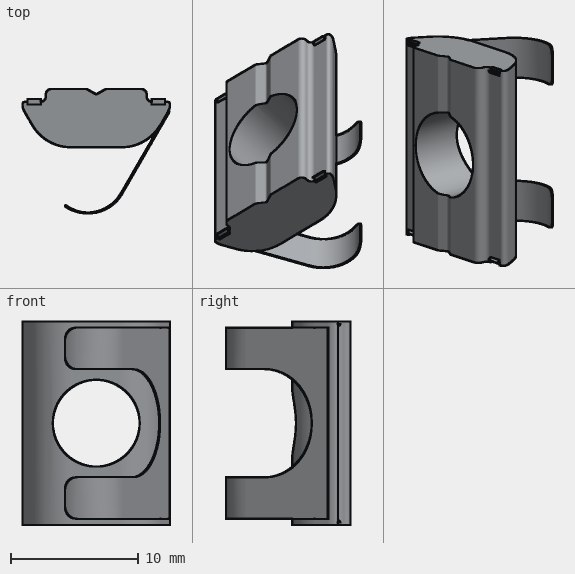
import cadquery as cq
import math

LENGTH = 16.0
HALF_WIDTH = 5.8
TOTAL_DEPTH = 9.8
BORE_DIAMETER = 6.8

BODY_DEPTH = 4.6
FLAT_HALF_WIDTH = 2.0
SHOULDER_RADIUS = 3.5
FLANK_ANGLE = math.radians(60)
FLANK_TOP_RADIUS = 1.0
LEDGE_DEPTH = 1.0
RIB_HALF_WIDTH = 3.97
RIB_TOP_RADIUS = 0.45
RIB_ROOT_RADIUS = 0.4
GROOVE_HALF_WIDTH = 0.75
GROOVE_ANGLE = math.radians(30)
GROOVE_RADIUS = 0.2

LIP_INNER_X = 4.35
LIP_OUTER_X = 5.4
LIP_BACK = -0.78
LIP_FRONT = -1.22
LIP_RECESS = 0.22

SHEET_THICKNESS = 0.1
BEND_RADIUS = 3.0
TIP_ANGLE = math.radians(35.8)
SPRING_HALF_LENGTH = 7.5
WINDOW_RADIUS = 4.24
WINDOW_CENTER_X = 2.82
TIP_CORNER_RADIUS = 1.0

COS_FLANK = math.cos(FLANK_ANGLE)
SIN_FLANK = math.sin(FLANK_ANGLE)

FLANK_FRONT_X = FLAT_HALF_WIDTH + SHOULDER_RADIUS * SIN_FLANK
FLANK_FRONT_Y = -BODY_DEPTH + SHOULDER_RADIUS * (1 - COS_FLANK)
FLANK_BACK_X = HALF_WIDTH - FLANK_TOP_RADIUS * (1 - SIN_FLANK)
FLANK_BACK_Y = FLANK_FRONT_Y + (FLANK_BACK_X - FLANK_FRONT_X) * math.tan(FLANK_ANGLE)
EAR_Y = FLANK_BACK_Y + FLANK_TOP_RADIUS * COS_FLANK
EAR_RADIUS = -LEDGE_DEPTH - EAR_Y


def polar(center, radius, angle):
    """Point on a circle, with the angle in radians from +X."""
    return (center[0] + radius * math.cos(angle), center[1] + radius * math.sin(angle))


def half_nut():
    """The +X half of the nut section, extruded over the full length."""
    shoulder_center = (FLAT_HALF_WIDTH, -BODY_DEPTH + SHOULDER_RADIUS)
    shoulder_middle = polar(shoulder_center, SHOULDER_RADIUS, -math.pi / 2 + FLANK_ANGLE / 2)
    flank_top_center = (HALF_WIDTH - FLANK_TOP_RADIUS, EAR_Y)
    flank_top_middle = polar(flank_top_center, FLANK_TOP_RADIUS, (FLANK_ANGLE - math.pi / 2) / 2)
    groove_depth = GROOVE_HALF_WIDTH * math.tan(GROOVE_ANGLE)
    return (
        cq.Workplane("XY", origin=(0, 0, -LENGTH / 2))
        .moveTo(0, -BODY_DEPTH)
        .lineTo(FLAT_HALF_WIDTH, -BODY_DEPTH)
        .threePointArc(shoulder_middle, (FLANK_FRONT_X, FLANK_FRONT_Y))
        .lineTo(FLANK_BACK_X, FLANK_BACK_Y)
        .threePointArc(flank_top_middle, (HALF_WIDTH, EAR_Y))
        .radiusArc((HALF_WIDTH - EAR_RADIUS, -LEDGE_DEPTH), -EAR_RADIUS)
        .lineTo(RIB_HALF_WIDTH + RIB_ROOT_RADIUS, -LEDGE_DEPTH)
        .radiusArc((RIB_HALF_WIDTH, -LEDGE_DEPTH + RIB_ROOT_RADIUS), RIB_ROOT_RADIUS)
        .lineTo(RIB_HALF_WIDTH, -RIB_TOP_RADIUS)
        .radiusArc((RIB_HALF_WIDTH - RIB_TOP_RADIUS, 0), -RIB_TOP_RADIUS)
        .lineTo(GROOVE_HALF_WIDTH, 0)
        .lineTo(0, -groove_depth)
        .close()
        .extrude(LENGTH)
    )


def nut():
    half = half_nut()
    body = half.union(half.mirror("YZ"))
    reach = GROOVE_HALF_WIDTH + GROOVE_RADIUS
    groove_box = cq.selectors.BoxSelector((-reach, -reach, -0.16), (reach, reach, 0.16))
    body = body.edges("|Z").edges(groove_box).fillet(GROOVE_RADIUS)
    bore = cq.Workplane("XZ").circle(BORE_DIAMETER / 2).extrude(BODY_DEPTH)
    return body.cut(bore)


def add_lips(body):
    """Recess the ledge ends and push the displaced metal out as small wedges."""
    floor_z = LENGTH / 2 - LIP_RECESS
    lip_width = LIP_OUTER_X - LIP_INNER_X
    overhang = LIP_BACK + LEDGE_DEPTH
    recess = (
        cq.Workplane("YZ", origin=(LIP_INNER_X, 0, 0))
        .moveTo(LIP_FRONT, floor_z)
        .lineTo(LIP_BACK, floor_z)
        .lineTo(LIP_BACK, LENGTH / 2)
        .lineTo(LIP_FRONT, LENGTH / 2)
        .close()
        .extrude(lip_width)
    )
    wedge = (
        cq.Workplane("YZ", origin=(LIP_INNER_X, 0, 0))
        .moveTo(LIP_FRONT, floor_z)
        .lineTo(LIP_BACK, floor_z)
        .lineTo(-LEDGE_DEPTH, floor_z - overhang)
        .lineTo(LIP_FRONT, floor_z - overhang)
        .close()
        .extrude(lip_width)
    )
    for mirror_x in (False, True):
        for mirror_z in (False, True):
            cutter, lip = recess, wedge
            if mirror_x:
                cutter, lip = cutter.mirror("YZ"), lip.mirror("YZ")
            if mirror_z:
                cutter, lip = cutter.mirror("XY"), lip.mirror("XY")
            body = body.cut(cutter).union(lip)
    return body


def spring():
    """Bent sheet lying on the +X flank, split into two legs by a round-ended window."""
    outer_radius = BEND_RADIUS + SHEET_THICKNESS
    normal_angle = FLANK_ANGLE - math.pi / 2
    tip_direction = -math.pi / 2 - TIP_ANGLE
    middle_direction = (normal_angle + tip_direction) / 2

    bend_y = -TOTAL_DEPTH + outer_radius
    tangent_y = bend_y + BEND_RADIUS * math.sin(normal_angle)
    tangent_x = FLANK_BACK_X + (tangent_y - FLANK_BACK_Y) / math.tan(FLANK_ANGLE)
    bend_center = (tangent_x - BEND_RADIUS * math.cos(normal_angle), bend_y)
    flank_back = (FLANK_BACK_X, FLANK_BACK_Y)

    sheet = (
        cq.Workplane("XY", origin=(0, 0, -SPRING_HALF_LENGTH))
        .moveTo(*flank_back)
        .lineTo(tangent_x, tangent_y)
        .threePointArc(
            polar(bend_center, BEND_RADIUS, middle_direction),
            polar(bend_center, BEND_RADIUS, tip_direction),
        )
        .lineTo(*polar(bend_center, outer_radius, tip_direction))
        .threePointArc(
            polar(bend_center, outer_radius, middle_direction),
            polar(bend_center, outer_radius, normal_angle),
        )
        .lineTo(*polar(flank_back, SHEET_THICKNESS, normal_angle))
        .close()
        .extrude(2 * SPRING_HALF_LENGTH)
    )

    window_y = FLANK_BACK_Y + (WINDOW_CENTER_X - FLANK_BACK_X) * math.tan(FLANK_ANGLE)
    window_plane = cq.Plane(
        origin=(WINDOW_CENTER_X, window_y, 0),
        xDir=(COS_FLANK, SIN_FLANK, 0),
        normal=(SIN_FLANK, -COS_FLANK, 0),
    )
    round_end = cq.Workplane(window_plane).circle(WINDOW_RADIUS).extrude(2 * SHEET_THICKNESS, both=True)
    run_out = (
        cq.Workplane(window_plane)
        .center(-TOTAL_DEPTH / 2, 0)
        .rect(TOTAL_DEPTH, 2 * WINDOW_RADIUS)
        .extrude(TOTAL_DEPTH, both=True)
    )
    legs = sheet.cut(round_end).cut(run_out)

    tip_plane = cq.Plane(
        origin=(*polar(bend_center, BEND_RADIUS, tip_direction), 0),
        xDir=(-math.sin(tip_direction), math.cos(tip_direction), 0),
        normal=(math.cos(tip_direction), math.sin(tip_direction), 0),
    )
    for edge_z, inward in ((SPRING_HALF_LENGTH, -1), (WINDOW_RADIUS, 1)):
        start_z = edge_z + inward * TIP_CORNER_RADIUS
        arc_center = (TIP_CORNER_RADIUS, start_z)
        corner = (
            cq.Workplane(tip_plane)
            .moveTo(0, start_z)
            .lineTo(0, edge_z)
            .lineTo(TIP_CORNER_RADIUS, edge_z)
            .threePointArc(
                polar(arc_center, TIP_CORNER_RADIUS, math.pi + inward * math.pi / 4),
                (0, start_z),
            )
            .close()
            .extrude(TIP_CORNER_RADIUS / 2, both=True)
        )
        legs = legs.cut(corner).cut(corner.mirror("XY"))
    return legs


result = add_lips(nut()).union(spring())